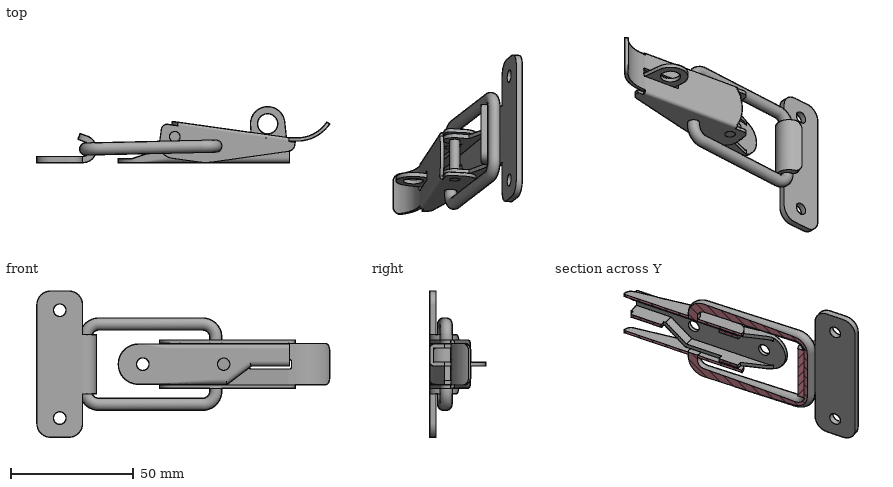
import cadquery as cq
import math


PLATE_HEIGHT = 60
PLATE_WIDTH = 18.8
PLATE_THICKNESS = 2.6
PLATE_CORNER = 5.8
PLATE_HOLE_SPACING = 44.1
MOUNT_HOLE_DIAMETER = 5.0
HOOK_OUTER_RADIUS = 5.6
HOOK_WIDTH = 24.2
HOOK_LIP_ANGLE = 20
HOOK_LIP_LENGTH = 3.2
HOOK_LIP_CORNER = 3.2

WIRE_RADIUS = 2.5
WIRE_BEND_RADIUS = 5.4
BAIL_HALF_WIDTH = 16.4
BAIL_HOOK_X = 20.0
BAIL_HOOK_Y = 5.6
BAIL_PIVOT_X = 73.3
BAIL_PIVOT_Y = 6.8

PIN_X = 56.5
PIN_Y = 10.7
PIN_RADIUS = 2.2

BASE_LEFT = 33.3
BASE_RIGHT = 103.5
BASE_HALF_WIDTH = 8.3
BASE_THICKNESS = 1.7
BASE_BEND_RADIUS = 2.0
BASE_SPLIT_X = 71.9
UPPER_BEND_START_X = 42
UPPER_BEND_FULL_X = 53.4
LOWER_BEND_START_X = 45.5
BASE_HOLES_X = (43.4, 76.5)
STEP_START_X = 77.9
STEP_END_X = 87.8
FLANGE_HEIGHT = 6
FLANGE_RAMP_START_X = 38.8
FLANGE_LOBE_RADIUS = 4.5

STAPLE_X = 94.5
STAPLE_Y = 16.0
STAPLE_RADIUS = 7.1
STAPLE_HOLE_RADIUS = 4.1
STAPLE_FOOT_LEFT = 88.5
STAPLE_FOOT_RIGHT = 103.1

LEVER_TILT = 8
LEVER_THICKNESS = 1.4
LEVER_INNER_HALF_WIDTH = 8.5
BACK_V = 6.1
BACK_LEFT_U = -1.9
BACK_RIGHT_U = 46.4
BACK_BEND_RADIUS = 1.3
SIDE_LEFT_U = -5.9
SIDE_RIGHT_U = 49.2
SIDE_BOTTOM_V = -8.9
SIDE_VALLEY_U = 14.0
SIDE_BEND_START_U = 0.5
SIDE_TOP_CORNER = 2.4
SIDE_BOTTOM_CORNER = 6
SIDE_VALLEY_RADIUS = 21.3
SIDE_END_CORNER = 3.0
SLOT_LEFT = 86.9
SLOT_RIGHT = 104.2
SLOT_HALF_WIDTH = 1.9
SLOT_CORNER = 0.7
HANDLE_FLAT = 3.4
HANDLE_RADIUS = 16.0
HANDLE_END_X = 119.9
HANDLE_CORNER = 3.0

LEVER_OUTER_HALF_WIDTH = LEVER_INNER_HALF_WIDTH + LEVER_THICKNESS
TALL = 48


def polar(center, radius, degrees):
    """Point at an angle on a circle."""
    angle = math.radians(degrees)
    return (center[0] + radius * math.cos(angle), center[1] + radius * math.sin(angle))


def tangent_point(center, radius, point, side):
    """Where a line from an outside point touches a circle; side +1 or -1 picks the line."""
    dx = point[0] - center[0]
    dy = point[1] - center[1]
    toward_point = math.degrees(math.atan2(dy, dx))
    opening = math.degrees(math.acos(radius / math.hypot(dx, dy)))
    return polar(center, radius, toward_point + side * opening)


def plan_plane(y=0):
    """Sketch plane parallel to the mounting plane: local x is X, local y is Z, normal is +Y."""
    return cq.Workplane("XZ", origin=(0, y, 0))


def y_hole(x, z, diameter):
    """Cylinder along Y that cuts a round hole."""
    return plan_plane(-TALL / 2).center(x, z).circle(diameter / 2).extrude(-TALL)


def fillet_upright(solid, point, radius):
    """Round the Z-parallel edge nearest to an (x, y) point."""
    mid_z = solid.val().Center().z
    corner = cq.selectors.NearestToPointSelector((point[0], point[1], mid_z))
    return solid.edges("|Z").edges(corner).fillet(radius)


def make_bail():
    slope = (BAIL_PIVOT_Y - BAIL_HOOK_Y) / (BAIL_PIVOT_X - BAIL_HOOK_X)
    tilt = math.atan(slope)
    length = math.hypot(BAIL_PIVOT_X - BAIL_HOOK_X, BAIL_PIVOT_Y - BAIL_HOOK_Y)
    bail_plane = cq.Plane(
        origin=(BAIL_HOOK_X, BAIL_HOOK_Y, 0),
        xDir=(math.cos(tilt), math.sin(tilt), 0),
        normal=(math.sin(tilt), -math.cos(tilt), 0),
    )
    bend = WIRE_BEND_RADIUS
    side = BAIL_HALF_WIDTH
    end = LEVER_INNER_HALF_WIDTH
    inset = bend * (1 - math.sqrt(0.5))
    path = (
        cq.Workplane(bail_plane)
        .moveTo(length, -end)
        .lineTo(length, bend - side)
        .threePointArc((length - inset, inset - side), (length - bend, -side))
        .lineTo(bend, -side)
        .threePointArc((inset, inset - side), (0, bend - side))
        .lineTo(0, side - bend)
        .threePointArc((inset, side - inset), (bend, side))
        .lineTo(length - bend, side)
        .threePointArc((length - inset, side - inset), (length, side - bend))
        .lineTo(length, end)
    )
    start = cq.Workplane("XY", origin=(BAIL_PIVOT_X, BAIL_PIVOT_Y, -end))
    return start.circle(WIRE_RADIUS).sweep(path)


def make_hook():
    """Strip curled around the wire, ending in a straight lip with rounded corners."""
    center = (PLATE_WIDTH, HOOK_OUTER_RADIUS)
    inner_radius = HOOK_OUTER_RADIUS - PLATE_THICKNESS
    lip_normal = 90 - HOOK_LIP_ANGLE
    lip_direction = 180 - HOOK_LIP_ANGLE
    outer_end = polar(center, HOOK_OUTER_RADIUS, lip_normal)
    inner_end = polar(center, inner_radius, lip_normal)
    hook = (
        cq.Workplane("XY", origin=(0, 0, -HOOK_WIDTH / 2))
        .moveTo(PLATE_WIDTH - PLATE_THICKNESS, 0)
        .lineTo(PLATE_WIDTH, 0)
        .threePointArc(polar(center, HOOK_OUTER_RADIUS, 0), outer_end)
        .lineTo(*polar(outer_end, HOOK_LIP_LENGTH, lip_direction))
        .lineTo(*polar(inner_end, HOOK_LIP_LENGTH, lip_direction))
        .lineTo(*inner_end)
        .threePointArc(polar(center, inner_radius, 0), (PLATE_WIDTH, PLATE_THICKNESS))
        .lineTo(PLATE_WIDTH - PLATE_THICKNESS, PLATE_THICKNESS)
        .close()
        .extrude(HOOK_WIDTH)
    )
    lip_middle = polar(center, HOOK_OUTER_RADIUS - PLATE_THICKNESS / 2, lip_normal)
    lip_tip = polar(lip_middle, HOOK_LIP_LENGTH, lip_direction)
    for z in (-HOOK_WIDTH / 2, HOOK_WIDTH / 2):
        corner = cq.selectors.NearestToPointSelector((*lip_tip, z))
        hook = hook.edges(corner).fillet(HOOK_LIP_CORNER)
    return hook


def make_catch_plate(bail):
    plate = (
        plan_plane()
        .center(PLATE_WIDTH / 2, 0)
        .rect(PLATE_WIDTH, PLATE_HEIGHT)
        .extrude(-PLATE_THICKNESS)
        .edges("|Y")
        .fillet(PLATE_CORNER)
    )
    plate = plate.union(make_hook())
    for z in (-PLATE_HOLE_SPACING / 2, PLATE_HOLE_SPACING / 2):
        plate = plate.cut(y_hole(PLATE_WIDTH / 2, z, MOUNT_HOLE_DIAMETER))
    return plate.cut(bail)


def base_outline(right):
    """Outer plan outline: round left end, stepped lower edge, ending at the given x."""
    half = BASE_HALF_WIDTH
    return (
        plan_plane()
        .moveTo(BASE_LEFT + half, half)
        .threePointArc((BASE_LEFT, 0), (BASE_LEFT + half, -half))
        .lineTo(STEP_START_X, -half)
        .lineTo(STEP_END_X, -BASE_THICKNESS / 2)
        .lineTo(right, -BASE_THICKNESS / 2)
        .lineTo(right, half)
        .close()
    )


def bend_waste(x, radius, side):
    """Cross-section at x of the material outside a bend on the upper (+1) or lower (-1) edge."""
    edge = side * BASE_HALF_WIDTH
    z_inner = edge - side * radius
    mid = polar((radius, z_inner), radius, 180 - side * 45)
    return (
        cq.Workplane("YZ", origin=(x, 0, 0))
        .moveTo(0, edge)
        .lineTo(radius, edge)
        .threePointArc(mid, (0, z_inner))
        .close()
        .wire()
        .val()
    )


def tapered_waste(start_x, full_x, side):
    """Waste of a bend that widens from nearly sharp to its full radius."""
    sharp = 0.06
    wires = [bend_waste(start_x, sharp, side), bend_waste(full_x, BASE_BEND_RADIUS, side)]
    return cq.Workplane(cq.Solid.makeLoft(wires, True))


def make_base_block():
    """Solid outer form of the base, with its bends rounded."""
    block = base_outline(BASE_RIGHT).extrude(-TALL)
    left_half = cq.Workplane("XY").box(BASE_SPLIT_X, 3 * TALL, TALL, centered=(False, True, True))
    left = block.intersect(left_half)
    left = left.cut(tapered_waste(UPPER_BEND_START_X, UPPER_BEND_FULL_X, 1))
    left = left.cut(tapered_waste(LOWER_BEND_START_X, BASE_SPLIT_X, -1))
    upper_waste = cq.Solid.extrudeLinear(
        bend_waste(UPPER_BEND_FULL_X, BASE_BEND_RADIUS, 1),
        [],
        cq.Vector(BASE_SPLIT_X - UPPER_BEND_FULL_X, 0, 0),
    )
    left = left.cut(cq.Workplane(upper_waste))
    right = block.cut(left_half).faces("<Y").edges("not |Z").fillet(BASE_BEND_RADIUS)
    return left.union(right)


def flange_profile():
    """Side outline of the long flanges: ramp, lobe around the pin, then constant height."""
    lobe_left = PIN_X - FLANGE_LOBE_RADIUS
    lobe_right = PIN_X + FLANGE_LOBE_RADIUS
    return (
        cq.Workplane("XY", origin=(0, 0, -TALL / 2))
        .moveTo(BASE_LEFT, 0)
        .lineTo(BASE_LEFT, BASE_THICKNESS)
        .lineTo(FLANGE_RAMP_START_X, BASE_THICKNESS)
        .lineTo(lobe_left, FLANGE_HEIGHT)
        .lineTo(lobe_left, PIN_Y)
        .threePointArc((PIN_X, PIN_Y + FLANGE_LOBE_RADIUS), (lobe_right, PIN_Y))
        .lineTo(lobe_right, FLANGE_HEIGHT)
        .lineTo(BASE_RIGHT, FLANGE_HEIGHT)
        .lineTo(BASE_RIGHT, 0)
        .close()
        .extrude(TALL)
    )


def staple_profile():
    """Side outline of the padlock staple: round eye with straight sides down to the base."""
    center = (STAPLE_X, STAPLE_Y)
    foot_left = (STAPLE_FOOT_LEFT, BASE_THICKNESS)
    foot_right = (STAPLE_FOOT_RIGHT, BASE_THICKNESS)
    return (
        cq.Workplane("XY", origin=(0, 0, -BASE_THICKNESS / 2))
        .moveTo(*foot_right)
        .lineTo(*tangent_point(center, STAPLE_RADIUS, foot_right, 1))
        .threePointArc(
            (STAPLE_X, STAPLE_Y + STAPLE_RADIUS),
            tangent_point(center, STAPLE_RADIUS, foot_left, -1),
        )
        .lineTo(*foot_left)
        .close()
        .extrude(BASE_THICKNESS)
    )


def make_base():
    cavity = (
        base_outline(BASE_RIGHT + BASE_THICKNESS)
        .offset2D(-BASE_THICKNESS, "intersection")
        .extrude(-TALL)
        .translate((0, BASE_THICKNESS, 0))
    )
    base = make_base_block().cut(cavity)
    base = base.intersect(flange_profile().union(staple_profile()))
    for x in BASE_HOLES_X:
        base = base.cut(y_hole(x, 0, MOUNT_HOLE_DIAMETER))
    eye = cq.Workplane("XY").center(STAPLE_X, STAPLE_Y).circle(STAPLE_HOLE_RADIUS)
    return base.cut(eye.extrude(BASE_THICKNESS, both=True))


def tilted(u, v):
    """Point in X and Y from lever coordinates."""
    tilt = math.radians(LEVER_TILT)
    x = PIN_X + u * math.cos(tilt) + v * math.sin(tilt)
    y = PIN_Y - u * math.sin(tilt) + v * math.cos(tilt)
    return (x, y)


def make_lever_side():
    """Side plate at +Z with its rounded bend into the back."""
    inner_v = BACK_V - LEVER_THICKNESS
    rise = math.tan(math.radians(2 * LEVER_TILT))
    end_v = SIDE_BOTTOM_V + (SIDE_RIGHT_U - SIDE_VALLEY_U) * rise
    bottom_left = tilted(SIDE_LEFT_U, SIDE_BOTTOM_V)
    valley = tilted(SIDE_VALLEY_U, SIDE_BOTTOM_V)
    bottom_right = tilted(SIDE_RIGHT_U, end_v)
    top_left = tilted(SIDE_LEFT_U, inner_v)
    outline = [
        bottom_left,
        valley,
        bottom_right,
        tilted(SIDE_RIGHT_U, inner_v),
        tilted(BACK_RIGHT_U, inner_v),
        tilted(BACK_RIGHT_U, BACK_V),
        tilted(SIDE_BEND_START_U, BACK_V),
        tilted(SIDE_BEND_START_U, inner_v),
        top_left,
    ]
    side = (
        cq.Workplane("XY", origin=(0, 0, LEVER_INNER_HALF_WIDTH))
        .polyline(outline)
        .close()
        .extrude(LEVER_THICKNESS)
    )
    side = fillet_upright(side, top_left, SIDE_TOP_CORNER)
    side = fillet_upright(side, bottom_left, SIDE_BOTTOM_CORNER)
    side = fillet_upright(side, valley, SIDE_VALLEY_RADIUS)
    side = fillet_upright(side, bottom_right, SIDE_END_CORNER)
    bend_middle = tilted((SIDE_BEND_START_U + BACK_RIGHT_U) / 2, BACK_V)
    bend_edge = cq.selectors.NearestToPointSelector((*bend_middle, LEVER_OUTER_HALF_WIDTH))
    return side.edges(bend_edge).fillet(BACK_BEND_RADIUS)


def back_trim():
    """Outline of the back seen square on: its left end bulges in one arc across the full width."""
    half = LEVER_INNER_HALF_WIDTH
    tilt = math.radians(LEVER_TILT)
    back_plane = cq.Plane(
        origin=(PIN_X, PIN_Y, 0),
        xDir=(math.cos(tilt), -math.sin(tilt), 0),
        normal=(math.sin(tilt), math.cos(tilt), 0),
    )
    return (
        cq.Workplane(back_plane)
        .moveTo(SIDE_BEND_START_U, half)
        .threePointArc((BACK_LEFT_U, 0), (SIDE_BEND_START_U, -half))
        .lineTo(HANDLE_END_X, -half)
        .lineTo(HANDLE_END_X, half)
        .close()
        .extrude(TALL)
    )


def make_lever_back():
    """Flat back that levels out and curls up into the finger handle."""
    inner_v = BACK_V - LEVER_THICKNESS
    outer_kink = tilted(BACK_RIGHT_U, BACK_V)
    level_y = outer_kink[1] - LEVER_THICKNESS
    mitre_slope = math.tan(math.radians(LEVER_TILT / 2))
    inner_kink = (outer_kink[0] - LEVER_THICKNESS * mitre_slope, level_y)
    curl_x = outer_kink[0] + HANDLE_FLAT
    center = (curl_x, level_y + HANDLE_RADIUS)
    curl = math.degrees(math.asin((HANDLE_END_X - curl_x) / HANDLE_RADIUS))
    inner_radius = HANDLE_RADIUS - LEVER_THICKNESS
    lower_tip = polar(center, HANDLE_RADIUS, curl - 90)
    upper_tip = polar(center, inner_radius, curl - 90)
    back = (
        cq.Workplane("XY", origin=(0, 0, -LEVER_INNER_HALF_WIDTH))
        .moveTo(*tilted(BACK_LEFT_U, inner_v))
        .lineTo(*inner_kink)
        .lineTo(curl_x, level_y)
        .threePointArc(polar(center, HANDLE_RADIUS, curl / 2 - 90), lower_tip)
        .lineTo(*upper_tip)
        .threePointArc(polar(center, inner_radius, curl / 2 - 90), (curl_x, outer_kink[1]))
        .lineTo(*outer_kink)
        .lineTo(*tilted(BACK_LEFT_U, BACK_V))
        .close()
        .extrude(2 * LEVER_INNER_HALF_WIDTH)
    )
    handle_end = polar(center, (HANDLE_RADIUS + inner_radius) / 2, curl - 90)
    for z in (-LEVER_INNER_HALF_WIDTH, LEVER_INNER_HALF_WIDTH):
        corner = cq.selectors.NearestToPointSelector((*handle_end, z))
        back = back.edges(corner).fillet(HANDLE_CORNER)
    return back.intersect(back_trim())


def make_lever(pin, bail):
    side = make_lever_side()
    lever = make_lever_back().union(side).union(side.mirror("XY"))
    slot = (
        plan_plane()
        .center((SLOT_LEFT + SLOT_RIGHT) / 2, 0)
        .rect(SLOT_RIGHT - SLOT_LEFT, 2 * SLOT_HALF_WIDTH)
        .extrude(-TALL)
        .edges("|Y")
        .fillet(SLOT_CORNER)
    )
    return lever.cut(slot).cut(pin).cut(bail)


def make_pin():
    pin = cq.Workplane("XY").center(PIN_X, PIN_Y).circle(PIN_RADIUS)
    return pin.extrude(LEVER_OUTER_HALF_WIDTH, both=True)


bail = make_bail()
pin = make_pin()
catch_plate = make_catch_plate(bail)
base = make_base().cut(pin)
lever = make_lever(pin, bail)

bodies = [catch_plate, bail, base, lever, pin]
result = cq.Compound.makeCompound([body.solids().val() for body in bodies])